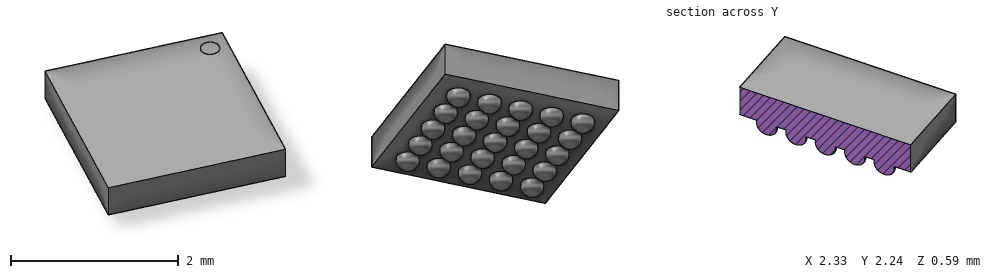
import cadquery as cq

body_length = 2.33
body_width = 2.24
total_height = 0.59

ball_diameter = 0.28
ball_drop = 0.17
ball_pitch = 0.4
balls_per_side = 5

mark_diameter = 0.233
mark_inset = 0.233
mark_depth = 0.002

body_height = total_height - ball_drop
ball_center_z = ball_diameter / 2 - ball_drop


def make_body():
    """Rectangular body with its underside at Z = 0."""
    return cq.Workplane("XY").box(body_length, body_width, body_height, centered=(True, True, False))


def make_balls():
    """Grid of solder balls centred under the body."""
    return (
        cq.Workplane("XY", origin=(0, 0, ball_center_z))
        .rarray(ball_pitch, ball_pitch, balls_per_side, balls_per_side)
        .sphere(ball_diameter / 2)
    )


def make_pin_one_mark():
    """Disc removed from the top face near the -X, +Y corner."""
    mark_x = mark_inset - body_length / 2
    mark_y = body_width / 2 - mark_inset
    return (
        cq.Workplane("XY", origin=(mark_x, mark_y, body_height - mark_depth))
        .circle(mark_diameter / 2)
        .extrude(mark_depth)
    )


result = make_body().union(make_balls()).cut(make_pin_one_mark())